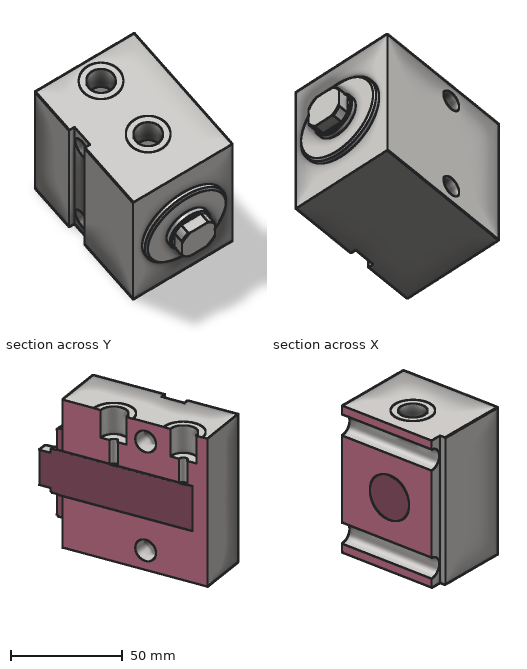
import cadquery as cq


block_length = 75.0
block_width = 55.0
block_height = 75.0
edge_chamfer = 0.25

slot_center_x = 32.0
slot_width = 11.8
slot_depth = 3.0
bolt_hole_diameter = 10.5
bolt_hole_spacing = 55.0

port_positions_x = (12.5, 48.5)
spotface_diameter = 20.0
spotface_depth = 0.1
port_diameter = 13.2
port_depth = 14.0
oil_hole_diameter = 4.0

rod_diameter = 22.4
rod_start_x = 8.0
rod_shoulder_chamfer = 0.7
wrench_square = 18.0
wrench_corner_diameter = 21.0
wrench_chamfer = 0.4
wrench_length = 5.8
rod_projection = 12.0

gland_diameter = 45.0
gland_thickness = 3.0
gland_chamfer = 1.0

rod_end_x = block_length + rod_projection
rod_shoulder_x = rod_end_x - wrench_length
block_top_z = block_height / 2
block_front_y = -block_width / 2


def cylinder_along_x(start_x, end_x, diameter):
    return cq.Workplane("YZ", origin=(start_x, 0, 0)).circle(diameter / 2).extrude(end_x - start_x)


def make_slot():
    slot_floor_y = block_front_y + slot_depth
    slot_center_y = (block_front_y + slot_floor_y) / 2
    return (
        cq.Workplane("XY")
        .box(slot_width, slot_depth, block_height)
        .translate((slot_center_x, slot_center_y, 0))
    )


def make_bolt_holes():
    half_spacing = bolt_hole_spacing / 2
    return (
        cq.Workplane("XZ", origin=(slot_center_x, 0, 0))
        .pushPoints([(0, -half_spacing), (0, half_spacing)])
        .circle(bolt_hole_diameter / 2)
        .extrude(block_width / 2, both=True)
    )


def make_port(center_x):
    """Spotface, port bore and a small oil hole that runs down to the rod bore."""
    mouth = cq.Workplane("XY", origin=(center_x, 0, block_top_z))
    spotface = mouth.circle(spotface_diameter / 2).extrude(-spotface_depth)
    port_bore = mouth.circle(port_diameter / 2).extrude(-port_depth)
    oil_hole = mouth.circle(oil_hole_diameter / 2).extrude(-block_top_z)
    return spotface.union(port_bore).union(oil_hole)


def make_housing():
    block = (
        cq.Workplane("XY")
        .box(block_length, block_width, block_height)
        .translate((block_length / 2, 0, 0))
        .edges("|X")
        .chamfer(edge_chamfer)
    )
    housing = block.cut(make_slot()).cut(make_bolt_holes())
    for center_x in port_positions_x:
        housing = housing.cut(make_port(center_x))
    return housing.cut(cylinder_along_x(rod_start_x, block_length, rod_diameter))


def make_gland():
    gland_end_x = block_length + gland_thickness
    ring = cylinder_along_x(block_length, gland_end_x, gland_diameter).faces(">X").chamfer(gland_chamfer)
    return ring.cut(cylinder_along_x(block_length, gland_end_x, rod_diameter))


def make_rod():
    shaft = cylinder_along_x(rod_start_x, rod_shoulder_x, rod_diameter)
    shaft = shaft.faces(">X").chamfer(rod_shoulder_chamfer)
    wrench_round = cylinder_along_x(rod_shoulder_x, rod_end_x, wrench_corner_diameter)
    wrench_round = wrench_round.faces(">X").chamfer(wrench_chamfer)
    square_bar = (
        cq.Workplane("YZ", origin=(rod_shoulder_x, 0, 0))
        .rect(wrench_square, wrench_square)
        .extrude(wrench_length)
    )
    return shaft.union(wrench_round.intersect(square_bar))


housing = make_housing()
gland = make_gland()
rod = make_rod()

result = cq.Compound.makeCompound(
    [housing.solids().val(), gland.solids().val(), rod.solids().val()]
)